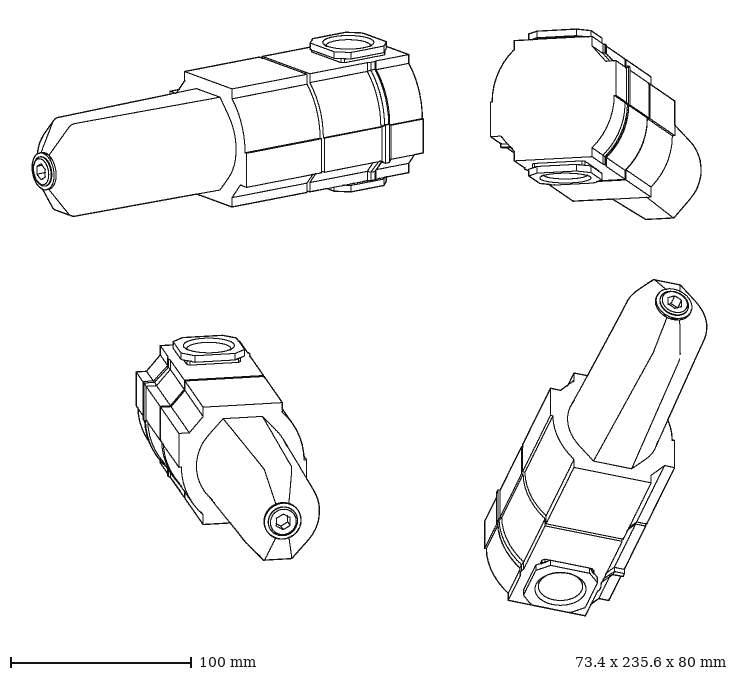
import cadquery as cq
import math


HEAD_BACK = 235.6
HEAD_LENGTH = 67.9
GROOVE_WIDTH = 2.0
COLLAR_LENGTH = 51.4
BOWL_WALL_LENGTH = 99.7
NOSE_LENGTH = 12.0
NOSE_RIM_LENGTH = 1.5

HEAD_FRONT = HEAD_BACK - HEAD_LENGTH
COLLAR_BACK = HEAD_FRONT - GROOVE_WIDTH
COLLAR_FRONT = COLLAR_BACK - COLLAR_LENGTH
BOWL_SHOULDER = COLLAR_FRONT - BOWL_WALL_LENGTH
NOSE_FRONT = BOWL_SHOULDER - NOSE_LENGTH
RIM_FRONT = NOSE_FRONT - NOSE_RIM_LENGTH

BODY_HALF_HEIGHT = 34.0
BODY_HALF_WIDTH = 36.0
TOP_HALF_WIDTH = 22.5
BEVEL_TOP = 28.5
LEDGE_HEIGHT = 19.5
LEDGE_INNER = 30.2
ARC_CENTER_OFFSET = 4.0
HEAD_ARC_RADIUS = 39.0
COLLAR_ARC_RADIUS = 38.6

BAND_RISE = 0.7
BAND_LEDGE_RISE = 1.5
BAND_STEP_RISE = 1.0
BAND_ARC_RISE = 1.0
BAND_CREST = 2.8
BAND_BACK_FLANK = 1.5
BAND_FRONT_FLANK = 2.0

PORT_Y = HEAD_BACK - 25.2
PORT_REACH = 40.0
FLANGE_WIDTH = 35.8
FLANGE_CHAMFER = 6.5
FLANGE_THICKNESS = 3.8
PORT_NECK_WIDTH = 30.2
PORT_NECK_CHAMFER = 1.5
PORT_BORE_RADIUS = 12.3
PORT_BORE_DEPTH = 23.5
PORT_COUNTERSINK = 2.0

NECK_BACK_RADIUS = 29.5
NECK_FRONT_RADIUS = 30.6

BOWL_HALF_HEIGHT = 26.6
BOWL_BACK_RADIUS = 26.2
BOWL_FRONT_RADIUS = 23.8
BEVEL_ANGLE = math.radians(42.5)
NOSE_HALF_HEIGHT = 10.0
NOSE_RADIUS = 9.5
NOSE_RIM_RADIUS = 10.4
SHOULDER_FILLET = 5.0
EDGE_SELECTION_MARGIN = 0.02

PLUG_RADIUS = 8.2
PLUG_INSERTION = 8.2
PLUG_CHAMFER = 1.0
HEX_ACROSS_FLATS = 7.8
HEX_DEPTH = 7.0
HEX_TURN = 90


def section_plane(y):
    """Plane across the axis at y, with local x along X and local y along Z."""
    return cq.Workplane("XZ", origin=(0, y, 0))


def body_outline(y, arc_radius, rise=0.0, ledge_rise=0.0, step_rise=0.0):
    """Body outline at y, unchanged by a half turn; the rises grow its sides outwards."""
    top_x = TOP_HALF_WIDTH + rise
    side_x = BODY_HALF_WIDTH + rise
    ledge_z = LEDGE_HEIGHT + ledge_rise
    ledge_x = LEDGE_INNER + rise
    bevel_z = BEVEL_TOP + rise

    def arc_point(z):
        return (math.sqrt(arc_radius**2 - z**2) - ARC_CENTER_OFFSET, z)

    arc_top_z = math.sqrt(arc_radius**2 - (top_x + ARC_CENTER_OFFSET) ** 2)
    arc_start = (top_x, arc_top_z)
    arc_middle = arc_point(arc_top_z / 2)
    arc_end = arc_point(step_rise)

    def turned(point):
        return (-point[0], -point[1])

    return (
        section_plane(y)
        .moveTo(-top_x, BODY_HALF_HEIGHT)
        .lineTo(top_x, BODY_HALF_HEIGHT)
        .lineTo(*arc_start)
        .threePointArc(arc_middle, arc_end)
        .lineTo(side_x, step_rise)
        .lineTo(side_x, -ledge_z)
        .lineTo(ledge_x, -ledge_z)
        .lineTo(top_x, -bevel_z)
        .lineTo(top_x, -BODY_HALF_HEIGHT)
        .lineTo(-top_x, -BODY_HALF_HEIGHT)
        .lineTo(*turned(arc_start))
        .threePointArc(turned(arc_middle), turned(arc_end))
        .lineTo(-side_x, -step_rise)
        .lineTo(-side_x, ledge_z)
        .lineTo(-ledge_x, ledge_z)
        .lineTo(-top_x, bevel_z)
        .close()
    )


def ruled_solid(*outlines):
    """Straight-sided solid through closed outlines, one after the other."""
    return cq.Workplane(cq.Solid.makeLoft([outline.val() for outline in outlines], True))


def make_band():
    """Raised band, level with the port axis, with a sloping flank on each side."""
    crest_back = PORT_Y + BAND_CREST / 2
    crest_front = PORT_Y - BAND_CREST / 2

    def crest_outline(y):
        return body_outline(
            y, HEAD_ARC_RADIUS + BAND_ARC_RISE, BAND_RISE, BAND_LEDGE_RISE, BAND_STEP_RISE
        )

    return ruled_solid(
        body_outline(crest_back + BAND_BACK_FLANK, HEAD_ARC_RADIUS),
        crest_outline(crest_back),
        crest_outline(crest_front),
        body_outline(crest_front - BAND_FRONT_FLANK, HEAD_ARC_RADIUS),
    )


def make_port_flange():
    """Upper port: square neck under a wider square flange, both with cut corners."""
    neck = (
        cq.Workplane("XY", origin=(0, PORT_Y, BODY_HALF_HEIGHT))
        .rect(PORT_NECK_WIDTH, PORT_NECK_WIDTH)
        .extrude(PORT_REACH - BODY_HALF_HEIGHT)
        .edges("|Z")
        .chamfer(PORT_NECK_CHAMFER)
    )
    flange = (
        cq.Workplane("XY", origin=(0, PORT_Y, PORT_REACH))
        .rect(FLANGE_WIDTH, FLANGE_WIDTH)
        .extrude(-FLANGE_THICKNESS)
        .edges("|Z")
        .chamfer(FLANGE_CHAMFER)
    )
    return neck.union(flange)


def make_port_bore():
    """Cutting tool for the upper port: blind bore with a 45 degree countersink."""
    mouth_radius = PORT_BORE_RADIUS + PORT_COUNTERSINK
    floor_z = PORT_REACH - PORT_BORE_DEPTH
    profile = [
        (0, PORT_REACH),
        (mouth_radius, PORT_REACH),
        (PORT_BORE_RADIUS, PORT_REACH - PORT_COUNTERSINK),
        (PORT_BORE_RADIUS, floor_z),
        (0, floor_z),
    ]
    bore = cq.Workplane("XZ").polyline(profile).close().revolve(360, (0, 0, 0), (0, 1, 0))
    return bore.translate((0, PORT_Y, 0))


def make_head():
    head = body_outline(HEAD_BACK, HEAD_ARC_RADIUS).extrude(HEAD_LENGTH).union(make_band())
    for half_turn in (0, 180):
        head = head.union(make_port_flange().rotate((0, 0, 0), (0, 1, 0), half_turn))
        head = head.cut(make_port_bore().rotate((0, 0, 0), (0, 1, 0), half_turn))
    return head


def make_collar():
    """Collar with a conical neck that bridges the groove up to the head."""
    block = body_outline(COLLAR_BACK, COLLAR_ARC_RADIUS).extrude(COLLAR_LENGTH)
    neck = (
        section_plane(HEAD_FRONT)
        .circle(NECK_BACK_RADIUS)
        .workplane(offset=GROOVE_WIDTH)
        .circle(NECK_FRONT_RADIUS)
        .loft(ruled=True)
    )
    return block.union(neck)


def bowl_outline(y, radius, half_height):
    """Round sides, flat top and bottom, joined by bevels tangent to the round sides."""
    flat_x = (radius - half_height * math.sin(BEVEL_ANGLE)) / math.cos(BEVEL_ANGLE)
    tangent_x = radius * math.cos(BEVEL_ANGLE)
    tangent_z = radius * math.sin(BEVEL_ANGLE)
    return (
        section_plane(y)
        .moveTo(-flat_x, half_height)
        .lineTo(flat_x, half_height)
        .lineTo(tangent_x, tangent_z)
        .threePointArc((radius, 0), (tangent_x, -tangent_z))
        .lineTo(flat_x, -half_height)
        .lineTo(-flat_x, -half_height)
        .lineTo(-tangent_x, -tangent_z)
        .threePointArc((-radius, 0), (-tangent_x, tangent_z))
        .close()
    )


def make_bowl():
    """Tapered bowl with a rounded shoulder, a nose, a round rim and the drain hole."""
    bowl = ruled_solid(
        bowl_outline(COLLAR_FRONT, BOWL_BACK_RADIUS, BOWL_HALF_HEIGHT),
        bowl_outline(BOWL_SHOULDER, BOWL_FRONT_RADIUS, BOWL_HALF_HEIGHT),
        bowl_outline(NOSE_FRONT, NOSE_RADIUS, NOSE_HALF_HEIGHT),
    )
    shoulder_edges = cq.selectors.BoxSelector(
        (-BODY_HALF_WIDTH, BOWL_SHOULDER - EDGE_SELECTION_MARGIN, -BODY_HALF_HEIGHT),
        (BODY_HALF_WIDTH, BOWL_SHOULDER + EDGE_SELECTION_MARGIN, BODY_HALF_HEIGHT),
    )
    bowl = bowl.edges(shoulder_edges).fillet(SHOULDER_FILLET)
    rim = section_plane(NOSE_FRONT).circle(NOSE_RIM_RADIUS).extrude(NOSE_RIM_LENGTH)
    drain_hole = section_plane(RIM_FRONT).circle(PLUG_RADIUS).extrude(-PLUG_INSERTION)
    return bowl.union(rim).cut(drain_hole)


def make_drain_plug():
    """Round plug ending at y = 0, with a chamfered face and a hexagon socket."""
    hex_diameter = HEX_ACROSS_FLATS / math.cos(math.pi / 6)
    plug = (
        section_plane(RIM_FRONT + PLUG_INSERTION)
        .circle(PLUG_RADIUS)
        .extrude(RIM_FRONT + PLUG_INSERTION)
        .faces("<Y")
        .edges()
        .chamfer(PLUG_CHAMFER)
    )
    socket = (
        section_plane(0)
        .transformed(rotate=(0, 0, HEX_TURN))
        .polygon(6, hex_diameter)
        .extrude(-HEX_DEPTH)
    )
    return plug.cut(socket)


head = make_head()
collar = make_collar()
bowl = make_bowl()
drain_plug = make_drain_plug()

result = cq.Compound.makeCompound([head.val(), collar.val(), bowl.val(), drain_plug.val()])